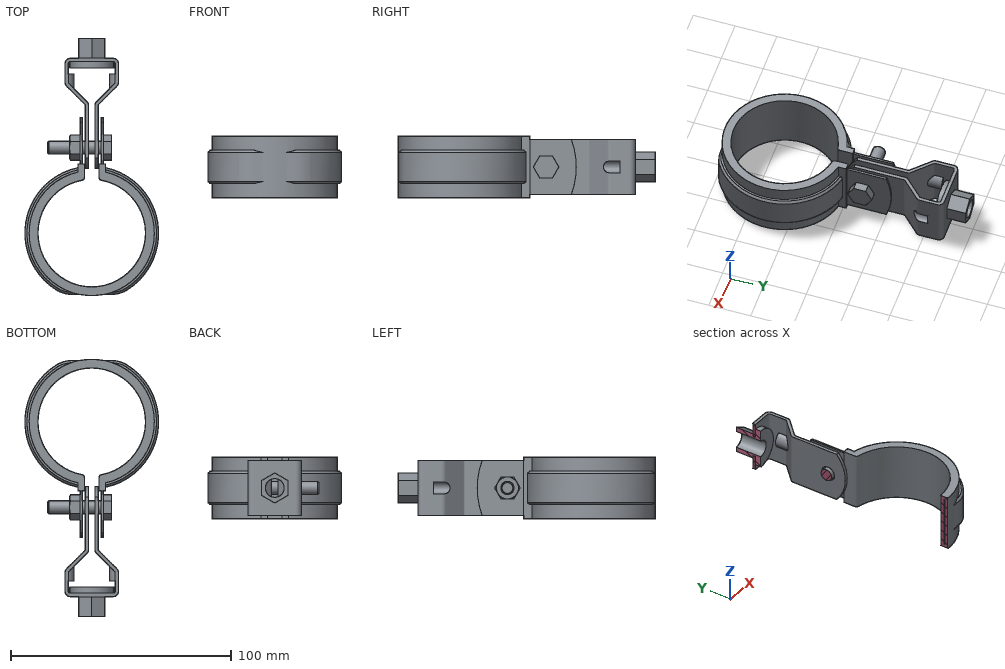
import cadquery as cq
import math


lining_height = 28.0
lining_outer_radius = 28.4
lining_inner_radius = 24.35
ear_inner_x = 3.25
ear_thickness = 3.0
ear_end_y = 31.4
ear_inner_rounding = 1.5

pad_radius = 30.395
pad_height = 15.2
pad_chamfer = 1.0
pad_blend_start_x = 16.0
pad_blend_end_x = 8.95
pad_tip_x = 5.4

strap_thickness = 1.0
strap_height = 25.0
strap_inner_radius = 25.9
lug_inner_x = ear_inner_x + (ear_thickness - strap_thickness) / 2
lug_outer_x = lug_inner_x + strap_thickness
lug_end_y = 52.5
lug_end_radius = 36.0

sheet_thickness = 1.6
bracket_height = 25.0
bracket_half_width = 12.2
bracket_top_y = 79.4
shoulder_y = 67.5
leg_outer_x = 3.0
leg_end_y = 29.3
leg_end_radius = 18.7
bend_inner_radius = 1.0
bend_outer_radius = bend_inner_radius + sheet_thickness
neck_y = shoulder_y - (bracket_half_width - leg_outer_x)

trough_outer_radius = 8.5 / 2
trough_inner_radius = trough_outer_radius - sheet_thickness
trough_open_y = 72.3

insert_across_flats = 11.8
insert_across_corners = insert_across_flats / math.cos(math.pi / 6)
hex_corner_turn = 30
insert_end_y = 88.4
insert_disc_diameter = 20.0
insert_disc_thickness = 2.9
insert_neck_diameter = 10.5
insert_bore_diameter = 8.5
bracket_inside_y = bracket_top_y - sheet_thickness

bolt_y = 38.8
bolt_diameter = 6.0
bolt_tip_diameter = 4.92
bolt_tip_x = -20.0
bolt_clearance_diameter = 7.0
hex_across_flats = 10.0
hex_across_corners = hex_across_flats / math.cos(math.pi / 6)
bolt_head_length = 3.8
nut_length = 4.8
nut_chamfer_depth = 0.4

selection_margin = 0.1


def centred_block(x_min, x_max, y_min, y_max, height):
    """Block between the given X and Y limits, centred on Z = 0."""
    return (
        cq.Workplane("XY")
        .box(x_max - x_min, y_max - y_min, height)
        .translate(((x_min + x_max) / 2, (y_min + y_max) / 2, 0))
    )


def cylinder_x(diameter, x_min, x_max):
    """Cylinder on the bolt axis."""
    return cq.Workplane("YZ", origin=(x_min, bolt_y, 0)).circle(diameter / 2).extrude(x_max - x_min)


def cylinder_y(radius, y_min, y_max, x=0):
    """Cylinder along Y at height zero."""
    return cq.Workplane("XZ", origin=(x, y_max, 0)).circle(radius).extrude(y_max - y_min)


def split_ring(inner_radius, outer_radius, half_gap, height):
    """Ring centred on Z = 0 with a parallel-sided gap on its +Y side."""
    ring = cq.Workplane("XY").circle(outer_radius).circle(inner_radius).extrude(height / 2, both=True)
    return ring.cut(centred_block(-half_gap, half_gap, 0, 2 * outer_radius, 2 * height))


def both_sides(body):
    """The body joined to its mirror image across the YZ plane."""
    return body.union(body.mirror("YZ"))


def make_lug():
    """Flat lug with a bowed end, drilled for the bolt."""
    root_y = math.sqrt(strap_inner_radius**2 - lug_inner_x**2)
    lug = centred_block(lug_inner_x, lug_outer_x, root_y, lug_end_y, strap_height)
    bowed_end = (
        cq.Workplane("YZ", origin=(lug_inner_x, lug_end_y - lug_end_radius, 0))
        .circle(lug_end_radius)
        .extrude(strap_thickness)
    )
    lug = lug.intersect(bowed_end)
    return lug.cut(cylinder_x(bolt_clearance_diameter, 0, lug_outer_x))


def make_strap():
    ring = split_ring(strap_inner_radius, strap_inner_radius + strap_thickness, lug_inner_x, strap_height)
    return ring.union(both_sides(make_lug()))


def make_pad():
    """Raised pad on the +X side, from the ear round to the -Y side, with chamfered rims."""
    blend_start_y = -math.sqrt(pad_radius**2 - pad_blend_start_x**2)
    inset = pad_blend_end_x / pad_blend_start_x
    blend_radius = pad_radius * (1 - inset)
    blend_centre_y = blend_start_y * inset
    blend_end_y = blend_centre_y - blend_radius
    half_angle = math.atan2(pad_blend_start_x, -blend_start_y) / 2
    blend_mid = (
        pad_blend_end_x + blend_radius * math.sin(half_angle),
        blend_centre_y - blend_radius * math.cos(half_angle),
    )
    tip_y = -math.sqrt(lining_outer_radius**2 - pad_tip_x**2)
    pad = (
        cq.Workplane("XY")
        .moveTo(0, pad_radius)
        .threePointArc((pad_radius, 0), (pad_blend_start_x, blend_start_y))
        .threePointArc(blend_mid, (pad_blend_end_x, blend_end_y))
        .lineTo(pad_tip_x, tip_y)
        .lineTo(0, 0)
        .close()
        .extrude(pad_height / 2, both=True)
    )
    outer_wall = cq.selectors.BoxSelector(
        (pad_tip_x / 2, -pad_radius, -pad_height), (2 * pad_radius, pad_radius, pad_height)
    )
    pad = pad.faces("|Z").edges(outer_wall).edges("not(<X)").chamfer(pad_chamfer)
    ear_outer_x = ear_inner_x + ear_thickness
    return pad.cut(centred_block(0, ear_outer_x, 0, 2 * pad_radius, lining_height))


def make_lining(strap):
    ear_root_y = math.sqrt(lining_inner_radius**2 - ear_inner_x**2)
    ear = centred_block(ear_inner_x, ear_inner_x + ear_thickness, ear_root_y, ear_end_y, lining_height)
    bore = cq.Workplane("XY").circle(lining_inner_radius).extrude(lining_height, both=True)
    lining = split_ring(lining_inner_radius, lining_outer_radius, ear_inner_x, lining_height)
    lining = lining.union(both_sides(ear.cut(bore)))
    inner_corners = cq.selectors.BoxSelector(
        (-ear_inner_x - selection_margin, ear_root_y - selection_margin, -lining_height),
        (ear_inner_x + selection_margin, ear_root_y + selection_margin, lining_height),
    )
    lining = lining.edges("|Z").edges(inner_corners).fillet(ear_inner_rounding)
    lining = lining.union(both_sides(make_pad().cut(bore)))
    return lining.cut(strap)


def bend_selector(y_min, y_max):
    """Selector for the bend edges from y_min to y_max, on both sides of the bracket."""
    return cq.selectors.BoxSelector(
        (-bracket_half_width - selection_margin, y_min - selection_margin, -bracket_height),
        (bracket_half_width + selection_margin, y_max + selection_margin, bracket_height),
    )


def make_outline():
    """Solid block with the outside shape of the bent bracket."""
    right_side = [
        (leg_outer_x, leg_end_y),
        (leg_outer_x, neck_y),
        (bracket_half_width, shoulder_y),
        (bracket_half_width, bracket_top_y),
    ]
    left_side = [(-x, y) for x, y in reversed(right_side)]
    outline = cq.Workplane("XY").polyline(right_side + left_side).close()
    outline = outline.extrude(bracket_height / 2, both=True)
    upper_bends = bend_selector(shoulder_y, bracket_top_y)
    neck_bends = bend_selector(neck_y, neck_y)
    outline = outline.edges("|Z").edges(upper_bends).fillet(bend_outer_radius)
    return outline.edges("|Z").edges(neck_bends).fillet(bend_inner_radius)


def rounded_leg_limit():
    """Everything the bracket may fill, bounded by the bowed ends of its two legs."""
    bow_centre_y = leg_end_y + leg_end_radius
    bow = (
        cq.Workplane("YZ", origin=(-bracket_half_width, bow_centre_y, 0))
        .circle(leg_end_radius)
        .extrude(2 * bracket_half_width)
    )
    above_bow = centred_block(
        -bracket_half_width, bracket_half_width, bow_centre_y, bracket_top_y, bracket_height
    )
    return bow.union(above_bow)


def make_bracket():
    outline = make_outline()
    sheet = outline.faces("|Z or <Y").shell(-sheet_thickness)
    interior = outline.cut(sheet)
    ridge = cylinder_y(trough_outer_radius, neck_y, trough_open_y, bracket_half_width).intersect(interior)
    hollow = cylinder_y(trough_inner_radius, neck_y, trough_open_y, bracket_half_width)
    bracket = sheet.union(both_sides(ridge)).cut(both_sides(hollow))

    bracket = bracket.intersect(rounded_leg_limit())
    bracket = bracket.cut(cylinder_y(insert_neck_diameter / 2, bracket_inside_y, bracket_top_y))
    return bracket.cut(cylinder_x(bolt_clearance_diameter, -leg_outer_x, leg_outer_x))


def make_insert(bracket):
    """Hexagon with corners up and down, neck and disc, bored through along Y."""
    disc_y = bracket_inside_y - insert_disc_thickness
    hexagon = (
        cq.Workplane("XZ", origin=(0, insert_end_y, 0))
        .polygon(6, insert_across_corners)
        .extrude(insert_end_y - bracket_top_y)
        .rotate((0, 0, 0), (0, 1, 0), hex_corner_turn)
    )
    neck = cylinder_y(insert_neck_diameter / 2, bracket_inside_y, bracket_top_y)
    disc = cylinder_y(insert_disc_diameter / 2, disc_y, bracket_inside_y)
    bore = cylinder_y(insert_bore_diameter / 2, disc_y, insert_end_y)
    return hexagon.union(neck).union(disc).cut(bore).cut(bracket)


def hexagon_x(x_min, x_max):
    """Hexagonal prism on the bolt axis with corners along Y."""
    return (
        cq.Workplane("YZ", origin=(x_min, bolt_y, 0))
        .polygon(6, hex_across_corners)
        .extrude(x_max - x_min)
    )


def make_bolt():
    tip_chamfer = (bolt_diameter - bolt_tip_diameter) / 2
    shank = cylinder_x(bolt_diameter, bolt_tip_x, lug_outer_x).faces("<X").chamfer(tip_chamfer)
    return shank.union(hexagon_x(lug_outer_x, lug_outer_x + bolt_head_length))


def make_nut():
    nut_x = -lug_outer_x - nut_length
    nut = hexagon_x(nut_x, -lug_outer_x)
    chamfer_width = (hex_across_corners - hex_across_flats) / 2
    corner_trim = cylinder_x(hex_across_corners, nut_x, -lug_outer_x)
    corner_trim = corner_trim.faces("<X").chamfer(nut_chamfer_depth, chamfer_width)
    return nut.intersect(corner_trim).cut(cylinder_x(bolt_diameter, nut_x, -lug_outer_x))


strap = make_strap()
lining = make_lining(strap)
bracket = make_bracket()
insert = make_insert(bracket)
bolt = make_bolt()
nut = make_nut()

result = cq.Compound.makeCompound(
    [strap.val(), lining.val(), bracket.val(), insert.val(), bolt.val(), nut.val()]
)